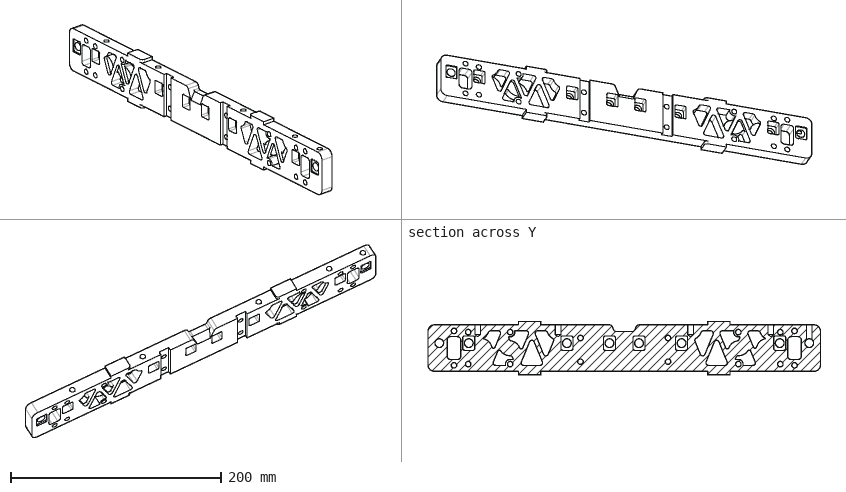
import cadquery as cq
import math

TOTAL_LENGTH = 373.17
THICKNESS = 12.7
TOTAL_HEIGHT = 50.8
TAB_HEIGHT = 3.175
BODY_HEIGHT = TOTAL_HEIGHT - 2 * TAB_HEIGHT
END_RADIUS = 6.35
FRONT_Y = -THICKNESS / 2
BODY_TOP = BODY_HEIGHT / 2
SIDES = (-1, 1)

TAB_OFFSET = 89.9
TAB_WIDTH = 21.4
TAB_FILLET = 2.9

GROOVE_OFFSET = 41.6
GROOVE_WIDTH = 10.16
GROOVE_DEPTH = 3.175
GROOVE_HOLE_HEIGHTS = (9.6, -12.9)

SMALL_HOLE_DIAMETER = 5.0
SMALL_HOLES = ((161.8, 16.35), (148.3, 15.2), (108.4, 15.2))
WINDOW_OFFSET = 161.8
WINDOW_WIDTH = 12.7
WINDOW_HEIGHT = 21.6
WINDOW_RADIUS = 3.175

NUT_OFFSETS = (175.8, 147.75, 54.5, 14.05)
NUT_Z = 4.7
NUT_POCKET_WIDTH = 11.2
NUT_POCKET_HEIGHT = 13.5
NUT_POCKET_RADIUS = 1.5
NUT_POCKET_DEPTHS = (1.5, 8.5, 8.5, 8.5)
BOLT_DIAMETER = 8.1

EDGE_HOLE_DIAMETER = 5.0
EDGE_HOLE_DEPTH = 9.5
DRILL_TIP_ANGLE = 118
END_HOLE_DEPTH = BODY_TOP - NUT_Z
EDGE_HOLE_OFFSETS = (139.3, 62.9)

NOTCH_DEPTH = 6.35
NOTCH_FLOOR_HALF = 9.4
NOTCH_WALL_ANGLE = 22
NOTCH_LIP_RADIUS = 3.6
NOTCH_FLOOR_RADIUS = 2.0
RAMP_SIZE = THICKNESS / 2

CELL_COUNT = 5
CELL_PITCH = 13.3
FIRST_CELL_OFFSET = 74.5
CELL_HALF_BASE = 11.2
CELL_HEIGHT = 27.2
CELL_BASE_Z = 16.3
CELL_RADIUS = 2.2
CELL_DEPTH = 11.0
EDGE_HOLE_BOSS_RADIUS = 11.0
EDGE_HOLE_BOSS_Z = 18.9
SMALL_HOLE_BOSS_RADIUS = 4.6

SHELF_DEPTH = 3.175
SHELF_RADIUS = 11.2
SHELF_CORNER_RADIUS = 1.5
RIM_TOLERANCE = 0.01
THIRD_CELL_SHELF = (109.6, -4.0)
FOURTH_CELL_SHELF = (108.4, 3.8)
FIFTH_CELL_SHELF = (136.5, -1.8)


def front_face(x=0, z=0):
    """Workplane on the front face, local x along X and local y along Z."""
    return cq.Workplane("XZ", origin=(x, FRONT_Y, z))


def make_bar():
    """Rounded bar with a tab across it on each half."""
    bar = cq.Workplane("XY").box(TOTAL_LENGTH, THICKNESS, BODY_HEIGHT)
    bar = bar.edges("|Y").fillet(END_RADIUS)
    for side in SIDES:
        inner_edge = "<X" if side > 0 else ">X"
        tab = cq.Workplane("XY").box(TAB_WIDTH, THICKNESS, TOTAL_HEIGHT)
        tab = tab.faces("<Y").edges(inner_edge).fillet(TAB_FILLET)
        bar = bar.union(tab.translate((side * TAB_OFFSET, 0, 0)))
    return bar


def round_hole(x, z, diameter):
    return front_face(x, z).circle(diameter / 2).extrude(-THICKNESS)


def rounded_pocket(x, z, width, height, radius, depth):
    return front_face(x, z).rect(width, height).extrude(-depth).edges("|Y").fillet(radius)


def make_groove(side):
    x = side * GROOVE_OFFSET
    tool = front_face(x).rect(GROOVE_WIDTH, TOTAL_HEIGHT).extrude(-GROOVE_DEPTH)
    for z in GROOVE_HOLE_HEIGHTS:
        tool = tool.union(round_hole(x, z, SMALL_HOLE_DIAMETER))
    return tool


def make_small_holes(side):
    centres = [(side * offset, sign * height) for offset, height in SMALL_HOLES for sign in SIDES]
    return front_face().pushPoints(centres).circle(SMALL_HOLE_DIAMETER / 2).extrude(-THICKNESS)


def make_window(side):
    x = side * WINDOW_OFFSET
    return rounded_pocket(x, 0, WINDOW_WIDTH, WINDOW_HEIGHT, WINDOW_RADIUS, THICKNESS)


def make_nut_pocket(side, offset, depth):
    x = side * offset
    pocket = rounded_pocket(
        x, NUT_Z, NUT_POCKET_WIDTH, NUT_POCKET_HEIGHT, NUT_POCKET_RADIUS, depth
    )
    return pocket.union(round_hole(x, NUT_Z, BOLT_DIAMETER))


def make_edge_hole(x, depth):
    """Drilled hole from the top edge, with a conical tip below its full-width depth."""
    radius = EDGE_HOLE_DIAMETER / 2
    tip = radius / math.tan(math.radians(DRILL_TIP_ANGLE / 2))
    return (
        cq.Workplane("XZ", origin=(x, 0, BODY_TOP))
        .polyline([(0, 0), (radius, 0), (radius, -depth), (0, -depth - tip)])
        .close()
        .revolve(360, (0, 0), (0, 1))
    )


def make_notch():
    """Notch in the top edge whose floor drops to the front face as a ramp."""
    floor_z = BODY_TOP - NOTCH_DEPTH
    wall_angle = math.radians(NOTCH_WALL_ANGLE)
    lean = math.tan(wall_angle)
    top_half = NOTCH_FLOOR_HALF + NOTCH_DEPTH * lean
    ramp_half = NOTCH_FLOOR_HALF - RAMP_SIZE * lean
    tangent = NOTCH_LIP_RADIUS * math.tan((math.pi / 2 - wall_angle) / 2)
    lip_x = top_half - tangent * math.sin(wall_angle)
    lip_z = BODY_TOP - tangent * math.cos(wall_angle)
    opening = (
        front_face()
        .moveTo(-top_half - tangent, BODY_TOP)
        .radiusArc((-lip_x, lip_z), NOTCH_LIP_RADIUS)
        .lineTo(-NOTCH_FLOOR_HALF, floor_z)
        .lineTo(NOTCH_FLOOR_HALF, floor_z)
        .lineTo(lip_x, lip_z)
        .radiusArc((top_half + tangent, BODY_TOP), NOTCH_LIP_RADIUS)
        .close()
        .extrude(-THICKNESS)
        .edges("|Y and <Z")
        .fillet(NOTCH_FLOOR_RADIUS)
    )
    walls = (
        front_face()
        .polyline(
            [
                (-top_half, BODY_TOP),
                (-ramp_half, floor_z - RAMP_SIZE),
                (ramp_half, floor_z - RAMP_SIZE),
                (top_half, BODY_TOP),
            ]
        )
        .close()
        .extrude(-THICKNESS)
    )
    ramp = (
        cq.Workplane("YZ")
        .polyline(
            [
                (FRONT_Y, floor_z - RAMP_SIZE),
                (FRONT_Y + RAMP_SIZE, floor_z),
                (FRONT_Y + RAMP_SIZE, floor_z + NOTCH_FLOOR_RADIUS),
                (FRONT_Y, floor_z + NOTCH_FLOOR_RADIUS),
            ]
        )
        .close()
        .extrude(top_half, both=True)
    )
    return opening.union(walls.intersect(ramp))


def triangle(offset, points_up, depth):
    """Triangular prism on the positive side; its base lies at the cell base height."""
    up = 1 if points_up else -1
    base_z = -up * CELL_BASE_Z
    return (
        front_face()
        .polyline(
            [
                (offset - CELL_HALF_BASE, base_z),
                (offset + CELL_HALF_BASE, base_z),
                (offset, base_z + up * CELL_HEIGHT),
            ]
        )
        .close()
        .extrude(-depth)
    )


def keep_boss(offset, z, radius, tail):
    """Material kept around a hole: a disc widened to a bar along X towards the tail direction."""
    disc = front_face(offset, z).circle(radius).extrude(-THICKNESS)
    bar = front_face(offset + tail * CELL_HALF_BASE, z).rect(2 * CELL_HALF_BASE, 2 * radius)
    return disc.union(bar.extrude(-THICKNESS))


def rounded(cell):
    return cell.edges("|Y").fillet(CELL_RADIUS)


def edge_hole_cell(offset, points_up, depth, boss):
    """Cell whose corners are all rounded, including those made by the boss."""
    return rounded(triangle(offset, points_up, depth).cut(boss))


def small_hole_cell(offset, points_up, depth, boss):
    """Cell with rounded triangle corners and sharp corners at the boss."""
    return rounded(triangle(offset, points_up, depth)).cut(boss)


def beyond_shelf(offset, points_up, shelf_x, shelf_z):
    """Part of a cell outside the round shelf, with the corners at the shelf rounded."""

    def lies_on_shelf_rim(edge):
        middle = edge.Center()
        distance = math.hypot(middle.x - shelf_x, middle.z - shelf_z)
        return abs(distance - SHELF_RADIUS) < RIM_TOLERANCE

    shelf = front_face(shelf_x, shelf_z).circle(SHELF_RADIUS).extrude(-THICKNESS)
    cell = rounded(triangle(offset, points_up, CELL_DEPTH)).cut(shelf)
    return cell.edges("|Y").filter(lies_on_shelf_rim).fillet(SHELF_CORNER_RADIUS)


def make_lattice():
    """All five cells of the lattice on the +X half."""
    offsets = [FIRST_CELL_OFFSET + i * CELL_PITCH for i in range(CELL_COUNT)]
    outer_edge_hole, inner_edge_hole = EDGE_HOLE_OFFSETS
    small_offset, small_z = SMALL_HOLES[-1]
    inner_boss = keep_boss(inner_edge_hole, EDGE_HOLE_BOSS_Z, EDGE_HOLE_BOSS_RADIUS, -1)
    outer_boss = keep_boss(outer_edge_hole, EDGE_HOLE_BOSS_Z, EDGE_HOLE_BOSS_RADIUS, 1)
    upper_boss = keep_boss(small_offset, small_z, SMALL_HOLE_BOSS_RADIUS, 1)
    lower_boss = keep_boss(small_offset, -small_z, SMALL_HOLE_BOSS_RADIUS, -1)

    lattice = edge_hole_cell(offsets[0], False, CELL_DEPTH, inner_boss)
    lattice = lattice.union(rounded(triangle(offsets[1], True, CELL_DEPTH)))

    stepped_cells = (
        (small_hole_cell, offsets[2], False, upper_boss, THIRD_CELL_SHELF),
        (small_hole_cell, offsets[3], True, lower_boss, FOURTH_CELL_SHELF),
        (edge_hole_cell, offsets[4], False, outer_boss, FIFTH_CELL_SHELF),
    )
    for make_cell, offset, points_up, boss, shelf_centre in stepped_cells:
        shallow = make_cell(offset, points_up, SHELF_DEPTH, boss)
        deep = make_cell(offset, points_up, CELL_DEPTH, boss)
        deep = deep.intersect(beyond_shelf(offset, points_up, *shelf_centre))
        lattice = lattice.union(shallow).union(deep)
    return lattice


result = make_bar()
lattice = make_lattice()
for side in SIDES:
    placed = lattice if side > 0 else lattice.mirror("YZ")
    result = result.cut(placed)
    result = result.cut(make_groove(side))
    result = result.cut(make_small_holes(side))
    result = result.cut(make_window(side))
    for offset, depth in zip(NUT_OFFSETS, NUT_POCKET_DEPTHS):
        result = result.cut(make_nut_pocket(side, offset, depth))
    for offset in EDGE_HOLE_OFFSETS:
        result = result.cut(make_edge_hole(side * offset, EDGE_HOLE_DEPTH))
result = result.cut(make_edge_hole(NUT_OFFSETS[0], END_HOLE_DEPTH))
result = result.cut(make_notch())